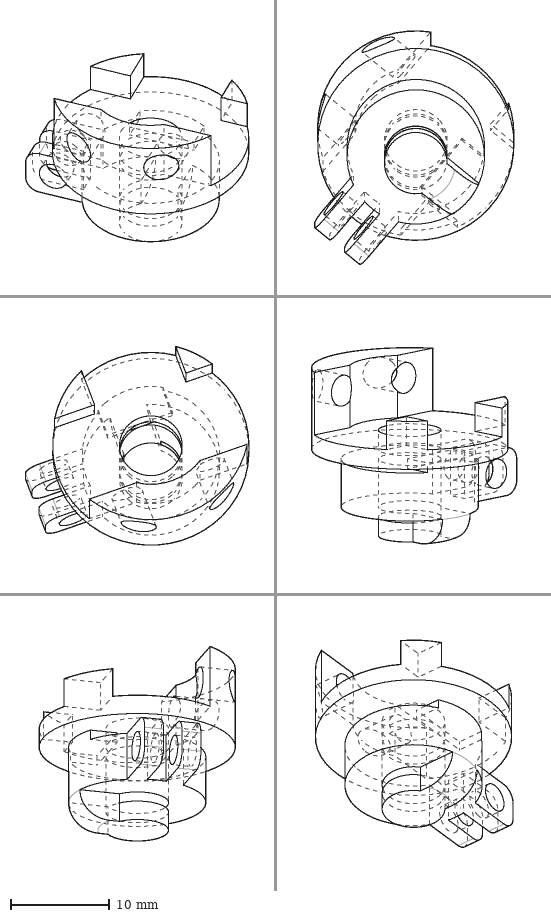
import cadquery as cq

total_height = 17.5
flange_thickness = 2.0
wall_top = 8.5
lug_top = 5.0
hub_top = -1.01
hub_bottom = -6.0
foot_bottom = wall_top - total_height
foot_thickness = 2.0

flange_diameter = 20.0
flange_radius = flange_diameter / 2
bore_radius = 3.2
shelf_y = 5.18
wall_relief_radius = 6.2
wall_hole_radius = 1.6
wall_hole_x = 4.5
wall_hole_z = 6.0
left_lug_x = -4.2
right_lug_x = 5.7

hub_radius = 7.0
block_width = 7.02
arm_width = 4.0

total_length = 22.5
ear_end_x = flange_radius - total_length
ear_inner_y = 1.0
ear_thickness = 2.0
ear_corner_radius = 1.5
ear_hole_radius = 1.5
ear_hole_x = -9.5


def disc(radius, bottom, top):
    return cq.Workplane("XY").workplane(offset=bottom).circle(radius).extrude(top - bottom)


def box(x_min, x_max, y_min, y_max, bottom, top):
    size = (x_max - x_min, y_max - y_min, top - bottom)
    return cq.Workplane("XY").box(*size, centered=False).translate((x_min, y_min, bottom))


def cylinder_along_y(radius, x, z, y_min, y_max):
    profile = cq.Workplane("XZ", origin=(0, y_min, 0)).center(x, z).circle(radius)
    return profile.extrude(y_min - y_max)


def make_wall():
    wall = disc(flange_radius, 0, wall_top).intersect(
        box(-flange_radius, flange_radius, -flange_radius, -shelf_y, 0, wall_top)
    )
    wall = wall.cut(disc(wall_relief_radius, flange_thickness, wall_top))
    for x in (-wall_hole_x, wall_hole_x):
        wall = wall.cut(cylinder_along_y(wall_hole_radius, x, wall_hole_z, -flange_radius, 0))
    return wall


def make_lug(x_min, x_max):
    blank = box(x_min, x_max, shelf_y, flange_radius, 0, lug_top)
    return blank.intersect(disc(flange_radius, 0, lug_top))


def make_flange():
    flange = disc(flange_radius, 0, flange_thickness).cut(disc(bore_radius, 0, flange_thickness))
    flange = flange.union(make_wall())
    flange = flange.union(make_lug(-flange_radius, left_lug_x))
    return flange.union(make_lug(right_lug_x, flange_radius))


def make_connecting_block():
    blank = box(-block_width / 2, block_width / 2, bore_radius, hub_radius, hub_top, 0)
    return blank.intersect(disc(hub_radius, hub_top, 0))


def make_arm_and_foot():
    arm = box(-arm_width / 2, arm_width / 2, 0, hub_radius, foot_bottom, hub_bottom)
    bend_radius = hub_bottom - foot_bottom
    rounded_disc = disc(hub_radius, foot_bottom, hub_top).faces("<Z").edges().fillet(bend_radius)
    foot_top = foot_bottom + foot_thickness
    gap = disc(bore_radius, foot_top, hub_bottom)
    foot = disc(bore_radius, foot_bottom, foot_top)
    return arm.intersect(rounded_disc).cut(gap).union(foot)


def make_ear(y_min):
    ear = box(ear_end_x, 0, y_min, y_min + ear_thickness, hub_bottom, hub_top)
    ear = ear.edges("|Y and <X").fillet(ear_corner_radius)
    hole_z = (hub_top + hub_bottom) / 2
    return ear.cut(cylinder_along_y(ear_hole_radius, ear_hole_x, hole_z, y_min, y_min + ear_thickness))


def make_hub():
    hub = disc(hub_radius, hub_bottom, hub_top)
    for y_min in (ear_inner_y, -ear_inner_y - ear_thickness):
        hub = hub.union(make_ear(y_min))
    return hub.cut(disc(bore_radius, hub_bottom, hub_top))


result = make_flange().union(make_connecting_block()).union(make_hub()).union(make_arm_and_foot())